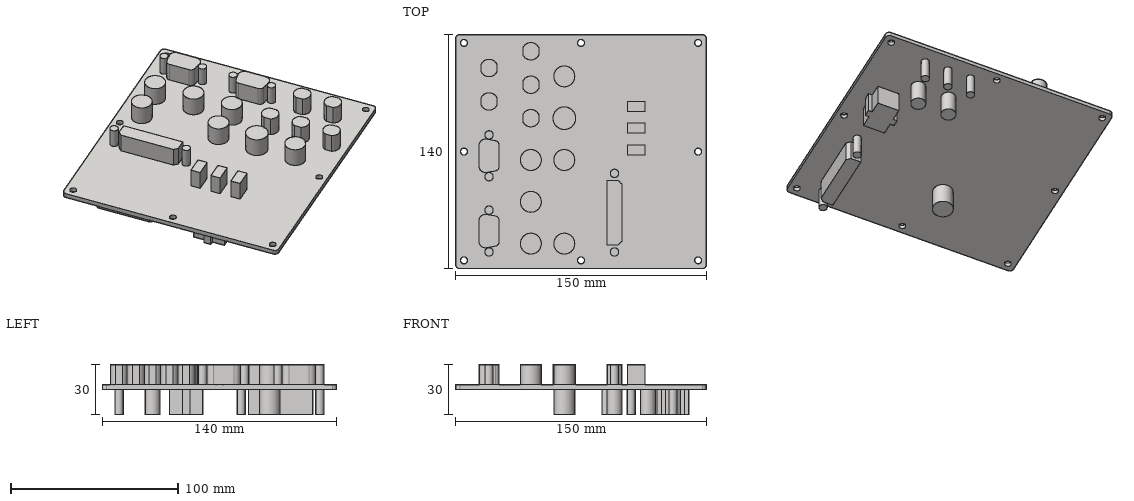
import cadquery as cq
import math

PANEL_LENGTH = 150.0
PANEL_WIDTH = 140.0
PANEL_THICKNESS = 3.0
PANEL_CORNER_RADIUS = 2.5
MOUNT_HOLE_DIAMETER = 4.0
MOUNT_HOLE_INSET = 5.0

UPPER_HEIGHT = 12.0
LOWER_HEIGHT = 15.0
PANEL_TOP = PANEL_THICKNESS / 2
PANEL_BOTTOM = -PANEL_THICKNESS / 2

ROUND_DIAMETER = 12.5
LARGE_ROUND_DIAMETER = 13.5
LEFT_COLUMN_X = -55.0
MIDDLE_COLUMN_X = -30.0
RIGHT_COLUMN_X = -10.0
UPPER_ROUND_CENTRES = [
    (MIDDLE_COLUMN_X, -5),
    (MIDDLE_COLUMN_X, -30),
    (MIDDLE_COLUMN_X, -55),
    (RIGHT_COLUMN_X, 45),
    (RIGHT_COLUMN_X, -5),
    (RIGHT_COLUMN_X, -55),
]
LARGE_ROUND_CENTRES = [(RIGHT_COLUMN_X, 20)]
LOWER_ROUND_CENTRES = [(RIGHT_COLUMN_X, -30)]

DOUBLE_D_DIAMETER = 10.4
DOUBLE_D_ACROSS_FLATS = 9.5
DOUBLE_D_CENTRES = [
    (LEFT_COLUMN_X, 50),
    (LEFT_COLUMN_X, 30),
    (MIDDLE_COLUMN_X, 60),
    (MIDDLE_COLUMN_X, 40),
    (MIDDLE_COLUMN_X, 20),
]

JACK_SCREW_DIAMETER = 5.0
SMALL_D_CENTRES = [(LEFT_COLUMN_X, -2.5), (LEFT_COLUMN_X, -47.5)]
SMALL_D_SCREW_SPACING = 25.0
SMALL_D_DEPTH = 12.0
SMALL_D_MID_LENGTH = 19.4
SMALL_D_TAPER_ANGLE = 10.0
SMALL_D_LONG_SIDE_RADIUS = 3.9
SMALL_D_SHORT_SIDE_RADIUS = 2.6

LONG_CENTRE_Y = -36.5
UPPER_LONG_X = 20.0
LOWER_LONG_X = 55.0
LONG_SCREW_SPACING = 47.0
LONG_BODY_DEPTH = 8.8
LONG_BODY_LENGTH = 38.6
LONG_BODY_CHAMFER = 2.2

SWITCH_X = 33.0
SWITCH_LENGTH = 10.6
SWITCH_WIDTH = 6.0
SWITCH_Y = [27, 14, 1]

PIN_DIAMETER = 5.0
PIN_CENTRES = [(15, 60), (30, 60), (45, 60)]
BUTTON_DIAMETER = 9.0
BUTTON_CENTRES = [(20, 40), (40, 40)]
SOCKET_CENTRE = (55, 20)
SOCKET_BODY_SIZE = (14.0, 20.0)
SOCKET_EARS_SIZE = (19.0, 4.4)


def upper_plane():
    return cq.Workplane("XY").workplane(offset=PANEL_TOP)


def lower_plane():
    return cq.Workplane("XY").workplane(offset=PANEL_BOTTOM - LOWER_HEIGHT)


def cylinders(plane, centres, diameter, height):
    return plane.pushPoints(centres).circle(diameter / 2).extrude(height)


def blocks(plane, centres, size, height):
    return plane.pushPoints(centres).rect(*size).extrude(height)


def make_panel():
    hole_x = PANEL_LENGTH / 2 - MOUNT_HOLE_INSET
    hole_y = PANEL_WIDTH / 2 - MOUNT_HOLE_INSET
    hole_centres = [
        (i * hole_x, j * hole_y)
        for i in (-1, 0, 1)
        for j in (-1, 0, 1)
        if (i, j) != (0, 0)
    ]
    panel = cq.Workplane("XY").box(PANEL_LENGTH, PANEL_WIDTH, PANEL_THICKNESS)
    panel = panel.edges("|Z").fillet(PANEL_CORNER_RADIUS)
    hole_plane = cq.Workplane("XY").workplane(offset=PANEL_BOTTOM)
    holes = cylinders(hole_plane, hole_centres, MOUNT_HOLE_DIAMETER, PANEL_THICKNESS)
    return panel.cut(holes)


def double_d_connectors():
    rounds = cylinders(upper_plane(), DOUBLE_D_CENTRES, DOUBLE_D_DIAMETER, UPPER_HEIGHT)
    envelope_size = (DOUBLE_D_ACROSS_FLATS, DOUBLE_D_DIAMETER)
    return rounds.intersect(blocks(upper_plane(), DOUBLE_D_CENTRES, envelope_size, UPPER_HEIGHT))


def jack_screws(plane, centre, spacing, height):
    x, y = centre
    screw_centres = [(x, y - spacing / 2), (x, y + spacing / 2)]
    return cylinders(plane, screw_centres, JACK_SCREW_DIAMETER, height)


def small_d_connector(centre):
    x, y = centre
    half_depth = SMALL_D_DEPTH / 2
    taper = half_depth * math.tan(math.radians(SMALL_D_TAPER_ANGLE))
    long_half = SMALL_D_MID_LENGTH / 2 + taper
    short_half = SMALL_D_MID_LENGTH / 2 - taper
    corners = [
        (x - half_depth, y - long_half),
        (x + half_depth, y - short_half),
        (x + half_depth, y + short_half),
        (x - half_depth, y + long_half),
    ]
    body = upper_plane().polyline(corners).close().extrude(UPPER_HEIGHT)
    body = body.faces("<X").edges("|Z").fillet(SMALL_D_LONG_SIDE_RADIUS)
    body = body.faces(">X").edges("|Z").fillet(SMALL_D_SHORT_SIDE_RADIUS)
    return body.union(jack_screws(upper_plane(), centre, SMALL_D_SCREW_SPACING, UPPER_HEIGHT))


def long_connector(plane, x, height):
    centre = (x, LONG_CENTRE_Y)
    body = blocks(plane, [centre], (LONG_BODY_DEPTH, LONG_BODY_LENGTH), height)
    body = body.faces(">X").edges("|Z").chamfer(LONG_BODY_CHAMFER)
    return body.union(jack_screws(plane, centre, LONG_SCREW_SPACING, height))


def socket():
    body = blocks(lower_plane(), [SOCKET_CENTRE], SOCKET_BODY_SIZE, LOWER_HEIGHT)
    ears = blocks(lower_plane(), [SOCKET_CENTRE], SOCKET_EARS_SIZE, LOWER_HEIGHT)
    return body.union(ears)


def upper_parts():
    switch_centres = [(SWITCH_X, y) for y in SWITCH_Y]
    parts = [
        cylinders(upper_plane(), UPPER_ROUND_CENTRES, ROUND_DIAMETER, UPPER_HEIGHT),
        cylinders(upper_plane(), LARGE_ROUND_CENTRES, LARGE_ROUND_DIAMETER, UPPER_HEIGHT),
        double_d_connectors(),
        long_connector(upper_plane(), UPPER_LONG_X, UPPER_HEIGHT),
        blocks(upper_plane(), switch_centres, (SWITCH_LENGTH, SWITCH_WIDTH), UPPER_HEIGHT),
    ]
    parts += [small_d_connector(centre) for centre in SMALL_D_CENTRES]
    return parts


def lower_parts():
    return [
        cylinders(lower_plane(), LOWER_ROUND_CENTRES, ROUND_DIAMETER, LOWER_HEIGHT),
        cylinders(lower_plane(), PIN_CENTRES, PIN_DIAMETER, LOWER_HEIGHT),
        cylinders(lower_plane(), BUTTON_CENTRES, BUTTON_DIAMETER, LOWER_HEIGHT),
        long_connector(lower_plane(), LOWER_LONG_X, LOWER_HEIGHT),
        socket(),
    ]


result = make_panel()
for part in upper_parts() + lower_parts():
    result = result.union(part)